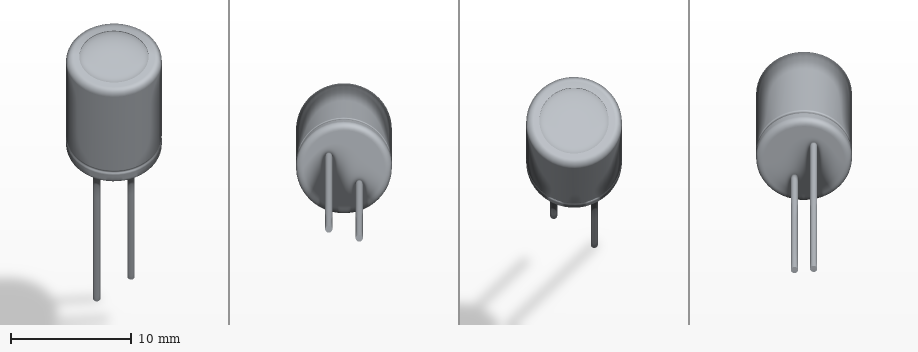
import cadquery as cq
import math


CAN_DIAMETER = 7.97
CAN_HEIGHT = 11.5
RIM_RADIUS = 0.57
TOP_RECESS_DIAMETER = 5.75
TOP_RECESS_DEPTH = 0.1

GROOVE_HEIGHT = 1.42
GROOVE_WIDTH = 0.57
GROOVE_LIP_RADIUS = 0.22
GROOVE_HOLLOW_RADIUS = 0.13

LEAD_DIAMETER = 0.6
LEAD_SPACING = 3.5
LONG_LEAD_LENGTH = 20.0
SHORT_LEAD_LENGTH = 15.0


def make_can_blank():
    """Solid cylinder with rounded rims."""
    blank = cq.Workplane("XY").circle(CAN_DIAMETER / 2).extrude(CAN_HEIGHT)
    return blank.edges("%CIRCLE").fillet(RIM_RADIUS)


def make_crimp_groove():
    """Ring that cuts the groove: a round hollow blended into the can wall by two convex lips."""
    wall = CAN_DIAMETER / 2
    half_width = GROOVE_WIDTH / 2
    lip_centre = wall - GROOVE_LIP_RADIUS
    centre_distance = GROOVE_LIP_RADIUS + GROOVE_HOLLOW_RADIUS
    centre_offset = math.sqrt(centre_distance**2 - half_width**2)
    floor = lip_centre + centre_offset - GROOVE_HOLLOW_RADIUS
    lip_share = GROOVE_LIP_RADIUS / centre_distance
    tangent_radius = lip_centre + centre_offset * lip_share
    tangent_rise = half_width * (1 - lip_share)
    profile = (
        cq.Workplane("XZ")
        .moveTo(wall, GROOVE_HEIGHT - half_width)
        .radiusArc((tangent_radius, GROOVE_HEIGHT - tangent_rise), -GROOVE_LIP_RADIUS)
        .threePointArc((floor, GROOVE_HEIGHT), (tangent_radius, GROOVE_HEIGHT + tangent_rise))
        .radiusArc((wall, GROOVE_HEIGHT + half_width), -GROOVE_LIP_RADIUS)
        .close()
    )
    return profile.revolve(360, (0, 0, 0), (0, 1, 0))


def make_top_recess():
    """Shallow round recess in the top face."""
    floor = CAN_HEIGHT - TOP_RECESS_DEPTH
    return (
        cq.Workplane("XY")
        .workplane(offset=floor)
        .circle(TOP_RECESS_DIAMETER / 2)
        .extrude(TOP_RECESS_DEPTH)
    )


def make_can():
    return make_can_blank().cut(make_crimp_groove()).cut(make_top_recess())


def make_lead(x, length):
    """Round wire hanging from the underside of the can."""
    return cq.Workplane("XY").center(x, 0).circle(LEAD_DIAMETER / 2).extrude(-length)


can = make_can()

lead_layout = [
    (-LEAD_SPACING / 2, LONG_LEAD_LENGTH),
    (LEAD_SPACING / 2, SHORT_LEAD_LENGTH),
]
leads = [make_lead(x, length) for x, length in lead_layout]

result = cq.Compound.makeCompound([can.val(), *[lead.val() for lead in leads]])